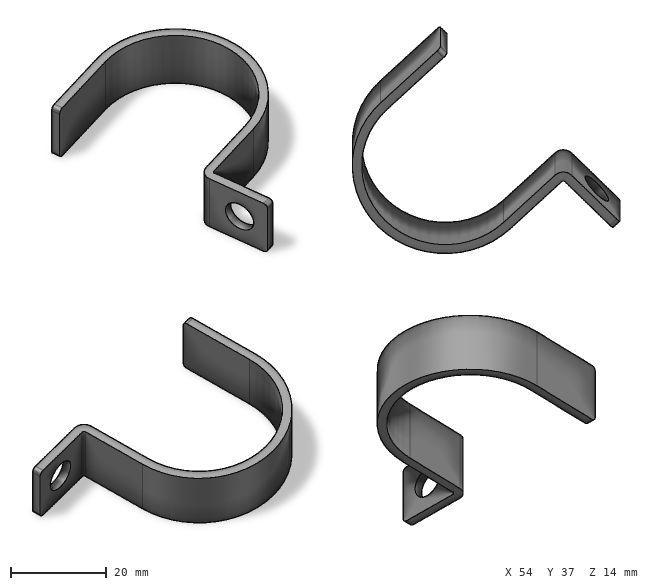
import cadquery as cq

length = 54.0
strip_width = 14.0
thickness = 2.0

outer_radius = 19.5
inner_radius = outer_radius - thickness

leg_length = 17.5
bend_inner_radius = 0.5
bend_outer_radius = bend_inner_radius + thickness
corner_radius = 1.0
hole_diameter = 7.0
hole_to_tab_end = 7.0

tab_end_x = length - outer_radius
foot_y = -leg_length
tab_back_y = foot_y + thickness


def strap_body():
    """Bent strip: free leg, half-round saddle, second leg and outward tab."""
    profile = (
        cq.Workplane("XY")
        .moveTo(-outer_radius, foot_y)
        .lineTo(-outer_radius, 0)
        .threePointArc((0, outer_radius), (outer_radius, 0))
        .lineTo(outer_radius, tab_back_y)
        .lineTo(tab_end_x, tab_back_y)
        .lineTo(tab_end_x, foot_y)
        .lineTo(inner_radius, foot_y)
        .lineTo(inner_radius, 0)
        .threePointArc((0, inner_radius), (-inner_radius, 0))
        .lineTo(-inner_radius, foot_y)
        .close()
    )
    return profile.extrude(strip_width / 2, both=True)


def round_bend(body):
    """Round both sides of the bend between leg and tab about one centre."""
    inside = cq.selectors.NearestToPointSelector((outer_radius, tab_back_y, 0))
    outside = cq.selectors.NearestToPointSelector((inner_radius, foot_y, 0))
    body = body.edges("|Z").edges(inside).fillet(bend_inner_radius)
    return body.edges("|Z").edges(outside).fillet(bend_outer_radius)


def round_end_corners(body):
    """Round the corners of the tab end and of the free leg end."""
    body = body.faces(">X").edges("|Y").fillet(corner_radius)
    free_end = cq.selectors.NearestToPointSelector((-outer_radius + thickness / 2, foot_y, 0))
    return body.faces(free_end).edges("|X").fillet(corner_radius)


def tab_hole():
    """Cutter for the screw hole through the tab."""
    return (
        cq.Workplane("XZ", origin=(tab_end_x - hole_to_tab_end, tab_back_y, 0))
        .circle(hole_diameter / 2)
        .extrude(thickness)
    )


result = round_end_corners(round_bend(strap_body())).cut(tab_hole())